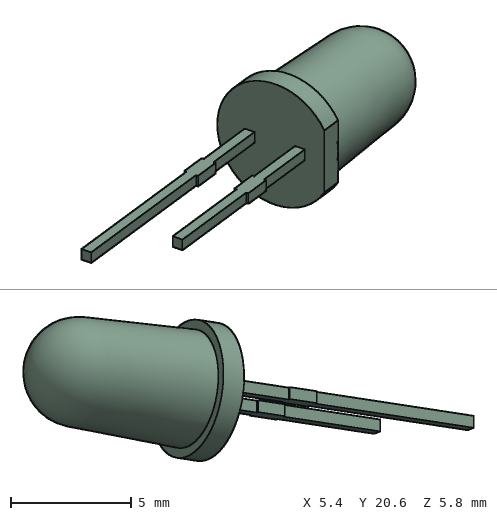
import cadquery as cq
import math


flange_radius = 2.9
flange_thickness = 1.0
flat_offset = 2.5
lens_base_radius = flat_offset
dome_radius = 2.3
lens_height = 8.6

overall_length = 20.6
long_lead_length = overall_length - lens_height
short_lead_length = 9.0
lead_pitch = 2.53
lead_width = 0.5
lead_thickness = 0.52
stop_width = 0.7
stop_length = 1.3
stop_distance = 3.0


def make_lens():
    """Flanged, tapered lens with a spherical dome tangent to its tapered wall."""
    dome_center_y = lens_height - dome_radius
    wall_height = dome_center_y - flange_thickness
    base_distance = math.hypot(lens_base_radius, wall_height)
    base_angle = math.atan2(wall_height, lens_base_radius)
    draft = math.acos(dome_radius / base_distance) - base_angle

    def dome_point(angle):
        """Point (Y, Z) on the dome, at an angle measured from the plane across the axis."""
        return (dome_center_y + dome_radius * math.sin(angle), dome_radius * math.cos(angle))

    tangent_point = dome_point(draft)
    arc_middle = dome_point((draft + math.pi / 2) / 2)
    profile = (
        cq.Workplane("YZ")
        .moveTo(0, 0)
        .lineTo(0, flange_radius)
        .lineTo(flange_thickness, flange_radius)
        .lineTo(flange_thickness, lens_base_radius)
        .lineTo(*tangent_point)
        .threePointArc(arc_middle, (lens_height, 0))
        .close()
    )
    body = profile.revolve(360, (0, 0, 0), (1, 0, 0))

    flat_cutter = cq.Workplane("XY").box(
        flange_radius, flange_thickness, 2 * flange_radius, centered=(False, False, True)
    )
    return body.cut(flat_cutter.translate((flat_offset, 0, 0)))


def make_lead(x, length):
    """Rectangular lead hanging from the flange underside, with a wider stop."""
    shank = cq.Workplane("XY").box(
        lead_width, length, lead_thickness, centered=(True, False, True)
    )
    stop = cq.Workplane("XY").box(
        stop_width, stop_length, lead_thickness, centered=(True, False, True)
    )
    shank = shank.translate((x, -length, 0))
    stop = stop.translate((x, -stop_distance - stop_length, 0))
    return shank.union(stop).clean()


lens = make_lens()
lead_places = [
    (-lead_pitch / 2, long_lead_length),
    (lead_pitch / 2, short_lead_length),
]
leads = [make_lead(x, length) for x, length in lead_places]

result = cq.Compound.makeCompound([lens.val(), *[lead.val() for lead in leads]])